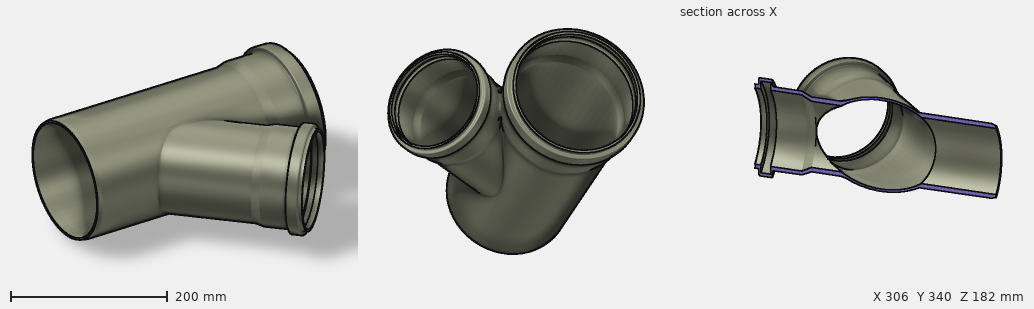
import cadquery as cq

main_length = 340.0
main_outer_d = 160.5
main_bore_d = 152.3
main_socket_outer_d = 168.3
main_socket_bore_d = 160.8
main_ring_outer_d = 182.0
main_ring_bore_d = 174.8
main_lip = 5.5
main_ring_length = 19.7
main_socket_depth = 66.0
main_taper_length = 14.0
spigot_bevel_length = 6.5
spigot_bevel_depth = 1.5

branch_angle = 45.0
branch_start_y = 99.5
branch_length = 238.0
branch_outer_d = 126.0
branch_bore_d = 118.5
branch_socket_outer_d = 132.0
branch_socket_bore_d = 125.8
branch_ring_outer_d = 143.8
branch_ring_bore_d = 138.0
branch_lip = 5.0
branch_ring_length = 15.3
branch_socket_depth = 55.5
branch_taper_length = 12.0

ring_round = 1.7
groove_end_wall = 3.0
bead_radius = 2.7


def revolve_about_y(points):
    return cq.Workplane("XY").polyline(points).close().revolve(360, (0, 0, 0), (0, 1, 0))


def pipe_outside(length, pipe_d, socket_d, ring_d, lip, ring_length, socket_depth, taper_length, bevel=(0, 0)):
    """Solid pipe along +Y ending in a socket with a raised, rounded seal ring."""
    bevel_length, bevel_depth = bevel
    ring_top = length - lip
    ring_bottom = ring_top - ring_length
    socket_start = length - socket_depth
    pipe_r = pipe_d / 2
    socket_r = socket_d / 2
    points = [(0, 0)]
    if bevel_length:
        points += [(pipe_r - bevel_depth, 0), (pipe_r, bevel_length)]
    else:
        points += [(pipe_r, 0)]
    points += [
        (pipe_r, socket_start - taper_length),
        (socket_r, socket_start),
        (socket_r, length),
        (0, length),
    ]
    ring = cylinder_along_y(ring_d, ring_length, ring_bottom)
    body = revolve_about_y(points).union(ring)
    edge_margin = 0.5
    reach = ring_d
    ring_zone = cq.selectors.BoxSelector(
        (-reach, ring_bottom - edge_margin, -reach),
        (reach, ring_top + edge_margin, reach),
        boundingbox=True,
    )
    return body.edges("%CIRCLE").edges(ring_zone).fillet(ring_round)


def pipe_inside(length, bore_d, socket_bore_d, ring_bore_d, lip, ring_length, socket_depth, taper_length):
    """Bore along +Y, widening into the socket and its seal groove."""
    groove_top = length - lip - groove_end_wall
    groove_bottom = length - lip - ring_length + groove_end_wall
    socket_start = length - socket_depth
    return revolve_about_y([
        (0, 0),
        (bore_d / 2, 0),
        (bore_d / 2, socket_start - taper_length),
        (socket_bore_d / 2, socket_start),
        (socket_bore_d / 2, groove_bottom),
        (ring_bore_d / 2, groove_bottom),
        (ring_bore_d / 2, groove_top),
        (socket_bore_d / 2, groove_top),
        (socket_bore_d / 2, length),
        (0, length),
    ])


def place_branch(shape):
    return shape.rotate((0, 0, 0), (0, 0, 1), -branch_angle).translate((0, branch_start_y, 0))


def cylinder_along_y(diameter, length, start=0):
    return cq.Workplane("XZ", origin=(0, start, 0)).circle(diameter / 2).extrude(-length)


def beaded_joint(main_d, branch_d):
    """Plain main and branch cylinders joined with a rounded seam."""
    main = cylinder_along_y(main_d, main_length - spigot_bevel_length, spigot_bevel_length)
    branch = place_branch(cylinder_along_y(branch_d, branch_length))
    return main.union(branch).edges("%BSPLINE").fillet(bead_radius)


main_layout = (main_lip, main_ring_length, main_socket_depth, main_taper_length)
branch_layout = (branch_lip, branch_ring_length, branch_socket_depth, branch_taper_length)

main_outside = pipe_outside(
    main_length, main_outer_d, main_socket_outer_d, main_ring_outer_d, *main_layout,
    bevel=(spigot_bevel_length, spigot_bevel_depth),
)
main_inside = pipe_inside(
    main_length, main_bore_d, main_socket_bore_d, main_ring_bore_d, *main_layout
)
branch_outside = place_branch(pipe_outside(
    branch_length, branch_outer_d, branch_socket_outer_d, branch_ring_outer_d, *branch_layout
))
branch_inside = place_branch(pipe_inside(
    branch_length, branch_bore_d, branch_socket_bore_d, branch_ring_bore_d, *branch_layout
))

pipe_joint = beaded_joint(main_outer_d, branch_outer_d)
main_socket_span = cylinder_along_y(
    2 * main_length, main_socket_depth, main_length - main_socket_depth
)
branch_socket_span = place_branch(cylinder_along_y(
    2 * main_length, branch_socket_depth, branch_length - branch_socket_depth
))
socket_joint = (
    beaded_joint(main_socket_outer_d, branch_socket_outer_d)
    .intersect(main_socket_span)
    .intersect(branch_socket_span)
)

result = (
    main_outside.union(branch_outside)
    .union(pipe_joint)
    .union(socket_joint)
    .cut(main_inside)
    .cut(branch_inside)
)